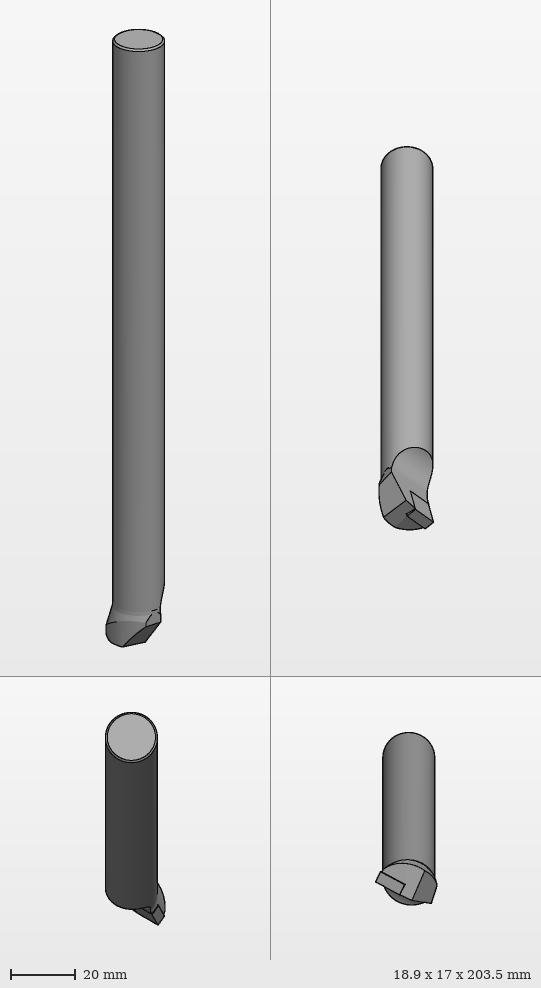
import cadquery as cq
import math

LENGTH = 203.5
SHANK_RADIUS = 16.0 / 2
END_CHAMFER = 0.6

NECK_TOP = 13.8
NECK_BOTTOM = 12.6
NECK_RADIUS = 8.1
CONE_END_RADIUS = 11.5
TRIM_RADIUS = 10.48
TRIM_CENTER = (-1.2, 1.5)
HEAD_END_CLEARANCE = 0.5
END_RELIEF_ANGLE = 8
BACK_BEVEL_TOP = 9.2
BACK_BEVEL_FOOT_X = 1.2

RAKE_ANGLE = 8
RAKE_OFFSET = 1.2

INSERT_SIDE = 8.5
INSERT_THICKNESS = 3.56
INSERT_TILT = 16
INSERT_TIP_X = -10.89

FLUTE_RADIUS = 10.2
FLUTE_ARC_START = 13.6

REACH = 24.5

TILT = math.radians(INSERT_TILT)
INSERT_DROP = INSERT_SIDE * math.sin(TILT)
INSERT_RUN = INSERT_SIDE * math.cos(TILT)


def onto_rake_plane(shape):
    """Move a shape built on the XZ plane onto the rake plane."""
    return shape.rotate((0, 0, 0), (0, 0, 1), RAKE_ANGLE).translate((0, RAKE_OFFSET, 0))


def square_plate(side):
    """Square plate in the rake plane, with its inner corner where the insert seats."""
    tip_x = INSERT_TIP_X / math.cos(math.radians(RAKE_ANGLE))
    inner = (tip_x + INSERT_RUN + INSERT_DROP, INSERT_RUN)
    drop = side * math.sin(TILT)
    run = side * math.cos(TILT)
    lower = (inner[0] - drop, inner[1] - run)
    upper = (inner[0] - run, inner[1] + drop)
    tip = (upper[0] - drop, upper[1] - run)
    plate = cq.Workplane("XZ").polyline([tip, lower, inner, upper]).close().extrude(INSERT_THICKNESS)
    return onto_rake_plane(plate)


def make_insert():
    """Square cutting insert with its lowest corner at Z = 0."""
    return square_plate(INSERT_SIDE)


def make_pocket():
    """Seat for the insert, open on its two cutting sides."""
    return square_plate(INSERT_SIDE + REACH)


def make_shank():
    """Round bar with a small chamfer on its free end."""
    return (
        cq.Workplane("XY", origin=(0, 0, NECK_TOP))
        .circle(SHANK_RADIUS)
        .extrude(LENGTH - NECK_TOP)
        .faces(">Z")
        .chamfer(END_CHAMFER)
    )


def make_head():
    """Flared head, kept within the +X side of the shank and beveled behind the tip."""
    cone = (
        cq.Workplane("XZ")
        .moveTo(0, 0)
        .lineTo(CONE_END_RADIUS, 0)
        .lineTo(NECK_RADIUS, NECK_BOTTOM)
        .lineTo(SHANK_RADIUS, NECK_TOP)
        .lineTo(0, NECK_TOP)
        .close()
        .revolve(360, (0, 0), (0, 1))
    )
    trim = cq.Workplane("XY").center(*TRIM_CENTER).circle(TRIM_RADIUS).extrude(NECK_TOP)

    outline = (
        cq.Workplane("XZ")
        .moveTo(-REACH, 0)
        .lineTo(BACK_BEVEL_FOOT_X, 0)
        .lineTo(SHANK_RADIUS, BACK_BEVEL_TOP)
        .lineTo(SHANK_RADIUS, NECK_TOP)
        .lineTo(-REACH, NECK_TOP)
        .close()
        .extrude(REACH, both=True)
    )
    return cone.intersect(trim).intersect(outline)


def make_end_relief():
    """Waste below the head: follows the insert's lower edge and rises toward -Y."""
    corner_x = INSERT_TIP_X + INSERT_RUN
    rise = (corner_x + REACH) * math.tan(TILT)
    outline = cq.Wire.makePolygon(
        [
            cq.Vector(-REACH, 0, HEAD_END_CLEARANCE + rise),
            cq.Vector(corner_x, 0, HEAD_END_CLEARANCE),
            cq.Vector(REACH, 0, HEAD_END_CLEARANCE),
            cq.Vector(REACH, 0, -REACH),
            cq.Vector(-REACH, 0, -REACH),
        ],
        close=True,
    )
    slope = math.tan(math.radians(END_RELIEF_ANGLE))
    sweep = cq.Vector(0, -2 * REACH, 2 * REACH * slope)
    relief = cq.Solid.extrudeLinear(outline, [], sweep)
    start = cq.Vector(0, REACH, -REACH * slope)
    return cq.Workplane(relief.translate(start))


def make_flute():
    """Waste above the rake plane, with its run-out parallel to the insert's end edge."""
    mid = FLUTE_RADIUS * math.sqrt(0.5)
    arc_top = FLUTE_ARC_START + FLUTE_RADIUS
    flute = (
        cq.Workplane("YZ", origin=(-REACH, 0, 0))
        .moveTo(0, -REACH)
        .lineTo(0, FLUTE_ARC_START)
        .threePointArc((FLUTE_RADIUS - mid, FLUTE_ARC_START + mid), (FLUTE_RADIUS, arc_top))
        .lineTo(REACH, arc_top)
        .lineTo(REACH, -REACH)
        .close()
        .extrude(2 * REACH)
        .rotate((0, 0, 0), (0, 1, 0), INSERT_TILT)
    )
    return onto_rake_plane(flute)


insert = make_insert()
holder = make_shank().union(make_head()).cut(make_end_relief()).cut(make_flute()).cut(make_pocket())

result = cq.Compound.makeCompound([holder.val(), insert.val()])